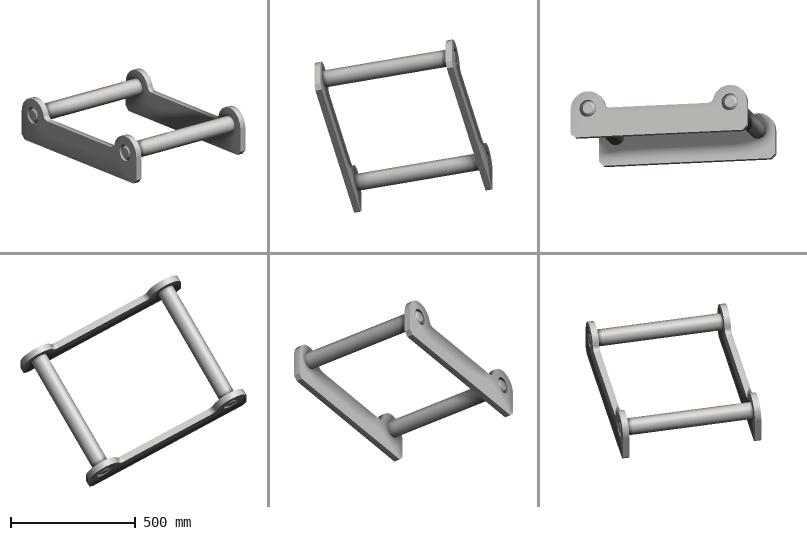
import cadquery as cq
import math

length = 722.0
width = 566.5
plate_thickness = 26.0
lug_radius = 70.0
axis_height = 117.0
blend_radius = 25.0
corner_chamfer = 18.0
bar_diameter = 68.5
bar_end_chamfer = 14.0

half_length = length / 2
bar_x = half_length - lug_radius
bar_positions = (-bar_x, bar_x)
plate_front_faces = (-width / 2, width / 2 - plate_thickness)


def make_side_plate(front_y):
    """Plate with two round lugs and bar holes; its front face lies at front_y."""
    blend_reach = math.sqrt((lug_radius + blend_radius) ** 2 - blend_radius ** 2)
    blend_x = bar_x - blend_reach
    blend_angle = math.atan2(blend_radius, blend_reach)
    tangent_x = bar_x - lug_radius * math.cos(blend_angle)
    tangent_z = axis_height + lug_radius * math.sin(blend_angle)
    middle_angle = (-math.pi / 2 - blend_angle) / 2
    blend_middle_x = blend_x + blend_radius * math.cos(middle_angle)
    blend_middle_z = axis_height + blend_radius + blend_radius * math.sin(middle_angle)
    lug_top = axis_height + lug_radius

    plate = (
        cq.Workplane("XZ", origin=(0, front_y, 0))
        .moveTo(-half_length + corner_chamfer, 0)
        .lineTo(half_length - corner_chamfer, 0)
        .lineTo(half_length, corner_chamfer)
        .lineTo(half_length, axis_height)
        .threePointArc((bar_x, lug_top), (tangent_x, tangent_z))
        .threePointArc((blend_middle_x, blend_middle_z), (blend_x, axis_height))
        .lineTo(-blend_x, axis_height)
        .threePointArc((-blend_middle_x, blend_middle_z), (-tangent_x, tangent_z))
        .threePointArc((-bar_x, lug_top), (-half_length, axis_height))
        .lineTo(-half_length, corner_chamfer)
        .close()
        .extrude(-plate_thickness)
    )
    bar_holes = (
        cq.Workplane("XZ", origin=(0, front_y, 0))
        .pushPoints([(x, axis_height) for x in bar_positions])
        .circle(bar_diameter / 2)
        .extrude(-plate_thickness)
    )
    return plate.cut(bar_holes)


def make_bar(x):
    """Round cross bar at x, flush with the outer plate faces, chamfered at both ends."""
    return (
        cq.Workplane("XZ", origin=(x, -width / 2, axis_height))
        .circle(bar_diameter / 2)
        .extrude(-width)
        .faces("<Y or >Y")
        .chamfer(bar_end_chamfer)
    )


side_plates = [make_side_plate(front_y) for front_y in plate_front_faces]
bars = [make_bar(x) for x in bar_positions]

result = cq.Compound.makeCompound([body.val() for body in side_plates + bars])